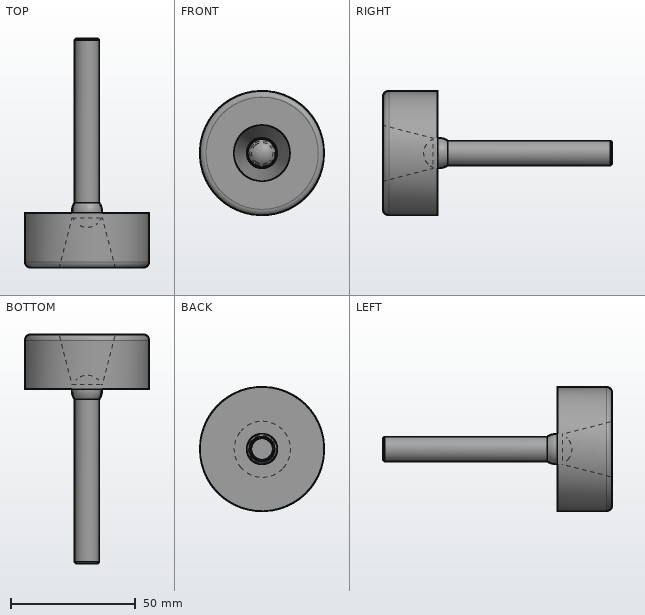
import cadquery as cq

total_length = 92.0
head_diameter = 50.0
head_length = 22.0
head_edge_radius = 2.5
rod_diameter = 10.0
rod_chamfer = 0.7
socket_mouth_diameter = 22.5
socket_floor_diameter = 12.2
socket_depth = 20.0
dome_center_sink = 2.5
dome_diameter = 12.3

head_radius = head_diameter / 2
socket_floor_radius = socket_floor_diameter / 2
dome_radius = dome_diameter / 2


def make_head():
    """Disc with a rounded front rim."""
    disc = cq.Workplane("XZ").circle(head_radius).extrude(-head_length)
    return disc.faces("<Y").edges().fillet(head_edge_radius)


def make_rod():
    """Plain rod behind the head, chamfered at its free end."""
    rod = (
        cq.Workplane("XZ", origin=(0, head_length, 0))
        .circle(rod_diameter / 2)
        .extrude(-(total_length - head_length))
    )
    return rod.faces(">Y").edges().chamfer(rod_chamfer)


def make_socket():
    """Tapered recess in the front face, narrowing to a flat floor."""
    return (
        cq.Workplane("XY")
        .lineTo(socket_mouth_diameter / 2, 0)
        .lineTo(socket_floor_radius, socket_depth)
        .lineTo(0, socket_depth)
        .close()
        .revolve(360, (0, 0, 0), (0, 1, 0))
    )


def make_dome():
    """Spherical cap on the socket floor, its center sunk below the floor."""
    return cq.Workplane("XY").sphere(dome_radius).translate((0, socket_depth + dome_center_sink, 0))


result = make_head().union(make_rod()).cut(make_socket()).union(make_dome())